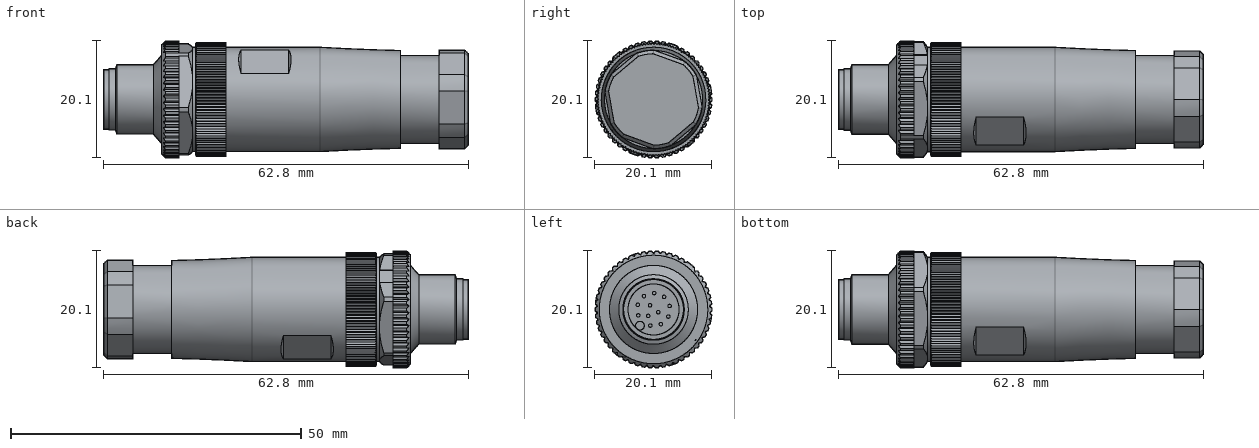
import cadquery as cq
import math

LENGTH = 62.8
ROLL = 40.0

TIP_D = 10.3
TIP_END = 0.9
COLLAR_D = 10.6
COLLAR_END = 2.0
PLUG_D = 12.0
PLUG_START = 2.25
PLUG_END = 8.55
FLARE_D = 15.2

BORE_D = 8.8
BORE_DEPTH = 5.65
PIN_D = 0.6
PIN_TIP = 2.0
PIN_EMBED = 0.6
PIN_PITCH_R = 2.8
OUTER_PINS = 9
PIN_STEP = 37.8
INNER_PIN_R = 1.05
INNER_PINS = 3
INNER_PIN_DROP = 0.4
KEY_D = 1.5
KEY_R = 3.65
KEY_START = 0.4

NUT_D = 20.15
NUT_START = 9.9
NUT_FACE_D = 18.7
NUT_RIM = 10.6
RIB_END = 12.95
NUT_END = 15.3
NUT_REAR_D = 17.85
NUT_REAR_CHAMFER = 0.75
NUT_AF = 17.85
RIB_COUNT = 54
RIB_DEPTH = 0.4
RIB_CREST_SHARE = 0.4
MARK_WIDTH = 0.9
RECESS_WIDTH = 2.9
RECESS_DEPTH = 0.25

RING_D = 19.6
RING_START = 15.8
RING_END = 21.1
RING_CHAMFER = 0.2
KNURL_COUNT = 120
KNURL_DEPTH = 0.3
GROOVE_D = 18.0

BODY_D = 18.0
BODY_BREAK = 37.25
BODY_MID = 44.15
BODY_MID_D = 17.35
BODY_END = 51.1
BODY_END_D = 16.9
FLAT_AF = 16.9
FLAT_START = 23.7
FLAT_END = 31.85
FLAT_END_SLOPE = 0.45

NECK_D = 15.2
CLAMP_START = 57.8
CLAMP_AF = 16.0
CLAMP_D = 17.0
CLAMP_CHAMFER = 0.6


def cylinder(start, end, diameter, y=0.0, z=0.0):
    """Round bar along X."""
    return cq.Workplane("YZ", origin=(start, y, z)).circle(diameter / 2).extrude(end - start)


def cone(start, end, start_d, end_d):
    """Conical length along X."""
    profile = [(start, 0), (start, start_d / 2), (end, end_d / 2), (end, 0)]
    return cq.Workplane("XY").polyline(profile).close().revolve(360, (0, 0, 0), (1, 0, 0))


def hexagon(start, end, across_flats, turn):
    """Hexagonal bar along X; a turn of 0 puts corners on the Y axis and flats square to Z."""
    corner_d = across_flats / math.cos(math.pi / 6)
    bar = cq.Workplane("YZ", origin=(start, 0, 0)).polygon(6, corner_d).extrude(end - start)
    return bar.rotate((0, 0, 0), (1, 0, 0), turn)


def polar(radius, angle):
    """Y and Z of a point at an angle in degrees from +Y towards +Z."""
    a = math.radians(angle)
    return radius * math.cos(a), radius * math.sin(a)


def toothed_bar(start, end, diameter, tooth):
    """Bar along X with a repeated tooth, given as (share of pitch, depth) points."""
    count, points = tooth
    pitch = 360.0 / count
    outline = [
        polar(diameter / 2 - depth, (i + share) * pitch)
        for i in range(count)
        for share, depth in points
    ]
    return cq.Workplane("YZ", origin=(start, 0, 0)).polyline(outline).close().extrude(end - start)


def plug():
    tip = cylinder(0, TIP_END, TIP_D)
    collar = cylinder(TIP_END, COLLAR_END, COLLAR_D)
    step = cone(COLLAR_END, PLUG_START, COLLAR_D, PLUG_D)
    barrel = cylinder(PLUG_START, PLUG_END, PLUG_D)
    flare = cone(PLUG_END, NUT_START, PLUG_D, FLARE_D)
    return tip.union(collar).union(step).union(barrel).union(flare)


def contacts():
    """Pins in an open ring and an inner triangle, and the key rib in the ring's gap at -Z."""
    half_span = PIN_STEP * (OUTER_PINS - 1) / 2
    places = [polar(PIN_PITCH_R, 90 - half_span + i * PIN_STEP) for i in range(OUTER_PINS)]
    for i in range(INNER_PINS):
        y, z = polar(INNER_PIN_R, -90 + i * 360 / INNER_PINS)
        places.append((y, z - INNER_PIN_DROP))
    root = BORE_DEPTH + PIN_EMBED
    inserts = cylinder(KEY_START, root, KEY_D, 0, -KEY_R)
    for y, z in places:
        inserts = inserts.union(cylinder(PIN_TIP, root, PIN_D, y, z))
    return inserts


def coupling_nut():
    half_crest = RIB_CREST_SHARE / 2
    rib = [(-half_crest, 0), (half_crest, 0), (0.5, RIB_DEPTH)]
    ribs = toothed_bar(NUT_START, RIB_END, NUT_D, (RIB_COUNT, rib))
    mark = cq.Workplane("XY").box(
        RIB_END - NUT_START, MARK_WIDTH, NUT_D / 2, centered=(False, True, False)
    ).translate((NUT_START, 0, 0))
    front_cone = cone(NUT_START, NUT_RIM, NUT_FACE_D, NUT_D)
    front_limit = front_cone.union(cylinder(NUT_RIM, RIB_END, NUT_D))
    front = ribs.union(mark).intersect(front_limit)

    chamfer_start = NUT_END - NUT_REAR_CHAMFER
    rear_cone = cone(chamfer_start, NUT_END, NUT_D, NUT_REAR_D)
    rear_limit = cylinder(RIB_END, chamfer_start, NUT_D).union(rear_cone)
    rear = hexagon(RIB_END, NUT_END, NUT_AF, 30).intersect(rear_limit)
    recess = cq.Workplane("XY").box(
        NUT_END - RIB_END, NUT_D / 2, RECESS_WIDTH, centered=(False, False, True)
    ).translate((RIB_END, NUT_AF / 2 - RECESS_DEPTH, 0))
    rear = rear.cut(recess)
    return front.union(rear)


def knurled_ring():
    knurl = [(0, 0), (0.5, KNURL_DEPTH)]
    teeth = toothed_bar(RING_START, RING_END, RING_D, (KNURL_COUNT, knurl))
    bevel_end = RING_START + RING_CHAMFER
    bevel = cone(RING_START, bevel_end, RING_D - 2 * RING_CHAMFER, RING_D)
    limit = bevel.union(cylinder(bevel_end, RING_END, RING_D))
    groove_floor = cylinder(NUT_END, RING_START, GROOVE_D)
    return teeth.intersect(limit).union(groove_floor)


def grip_body():
    front = cylinder(RING_END, BODY_BREAK, BODY_D)
    rear = (
        cq.Workplane("XY")
        .moveTo(BODY_BREAK, 0)
        .lineTo(BODY_BREAK, BODY_D / 2)
        .threePointArc((BODY_MID, BODY_MID_D / 2), (BODY_END, BODY_END_D / 2))
        .lineTo(BODY_END, 0)
        .close()
        .revolve(360, (0, 0, 0), (1, 0, 0))
    )
    body = front.union(rear)
    floor_z = FLAT_AF / 2
    top_z = BODY_D / 2
    flat = (
        cq.Workplane("XZ")
        .polyline([
            (FLAT_START, floor_z),
            (FLAT_END, floor_z),
            (FLAT_END + FLAT_END_SLOPE, top_z),
            (FLAT_START - FLAT_END_SLOPE, top_z),
        ])
        .close()
        .extrude(BODY_D / 2, both=True)
    )
    return body.cut(flat).cut(flat.mirror("XY"))


def clamp_nut():
    round_bar = cylinder(CLAMP_START, LENGTH, CLAMP_D)
    bar = hexagon(CLAMP_START, LENGTH, CLAMP_AF, 0).intersect(round_bar)
    return bar.faces(">X").chamfer(CLAMP_CHAMFER)


neck = cylinder(BODY_END, CLAMP_START, NECK_D)
connector = plug().union(coupling_nut()).union(knurled_ring())
connector = connector.union(grip_body()).union(neck).union(clamp_nut())
connector = connector.cut(cylinder(0, BORE_DEPTH, BORE_D)).union(contacts())
result = connector.rotate((0, 0, 0), (1, 0, 0), ROLL)